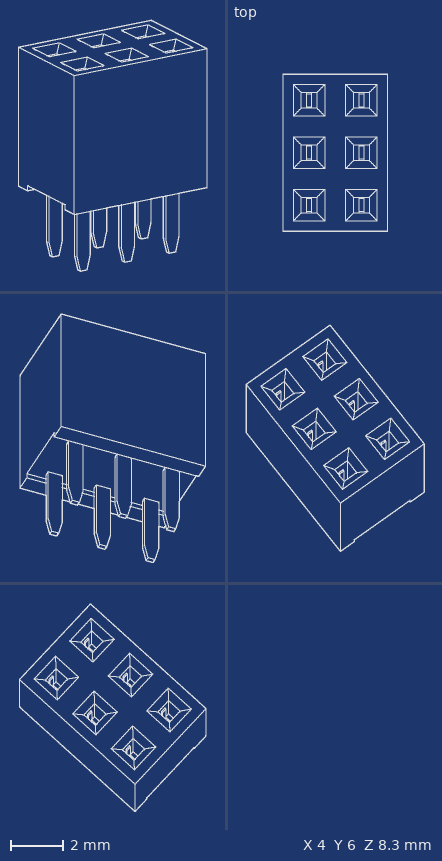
import cadquery as cq

BODY_X = 4.0
BODY_Y = 6.0
TOTAL_HEIGHT = 8.3
PIN_PROTRUSION = 2.7
BODY_HEIGHT = TOTAL_HEIGHT - PIN_PROTRUSION

CHANNEL_WIDTH = 2.66
CHANNEL_DEPTH = 0.21

COLUMNS = 2
ROWS = 3
PITCH = BODY_X / COLUMNS

MOUTH_SIDE = 1.2
SOCKET_SIDE = 0.6
LEAD_IN_DEPTH = (MOUTH_SIDE - SOCKET_SIDE) / 2
SOCKET_DEPTH = 2.99
FLOOR_Z = BODY_HEIGHT - SOCKET_DEPTH

PIN_THICKNESS = 0.2
PIN_WIDTH = SOCKET_SIDE
TIP_WIDTH = 0.3
TIP_LENGTH = 0.6

FORK_GAP = 0.5
FORK_TOP_DEPTH = 1.0
FORK_BASE_HEIGHT = 0.2
PRONG_WIDTH = (PIN_WIDTH - FORK_GAP) / 2


def make_body():
    """Rectangular housing with a channel between two standoff feet."""
    body = cq.Workplane("XY").box(BODY_X, BODY_Y, BODY_HEIGHT, centered=(True, True, False))
    channel = cq.Workplane("XY").box(CHANNEL_WIDTH, BODY_Y, CHANNEL_DEPTH, centered=(True, True, False))
    return body.cut(channel)


def make_socket():
    """Cutting solid for one socket: square well plus pyramidal lead-in."""
    well = (
        cq.Workplane("XY")
        .workplane(offset=FLOOR_Z)
        .rect(SOCKET_SIDE, SOCKET_SIDE)
        .extrude(SOCKET_DEPTH)
    )
    lead_in = (
        cq.Workplane("XY")
        .workplane(offset=BODY_HEIGHT - LEAD_IN_DEPTH)
        .rect(SOCKET_SIDE, SOCKET_SIDE)
        .workplane(offset=LEAD_IN_DEPTH)
        .rect(MOUTH_SIDE, MOUTH_SIDE)
        .loft(ruled=True)
    )
    return well.union(lead_in)


def make_pin():
    """Flat pin with a tapered solder tip below and a two-pronged fork above."""
    tip_z = -PIN_PROTRUSION
    crotch_z = FLOOR_Z + FORK_BASE_HEIGHT
    point_z = BODY_HEIGHT - FORK_TOP_DEPTH
    right_side = [
        (TIP_WIDTH / 2, tip_z),
        (PIN_WIDTH / 2, tip_z + TIP_LENGTH),
        (PIN_WIDTH / 2, point_z),
        (FORK_GAP / 2, point_z - PRONG_WIDTH),
        (FORK_GAP / 2, crotch_z),
    ]
    left_side = [(-y, z) for y, z in reversed(right_side)]
    return (
        cq.Workplane("YZ")
        .polyline(right_side + left_side)
        .close()
        .extrude(PIN_THICKNESS / 2, both=True)
    )


pin = make_pin()
socket = make_socket()
result = make_body()
for column in range(COLUMNS):
    for row in range(ROWS):
        x = (column - (COLUMNS - 1) / 2) * PITCH
        y = (row - (ROWS - 1) / 2) * PITCH
        position = (x, y, 0)
        result = result.cut(socket.translate(position)).union(pin.translate(position))